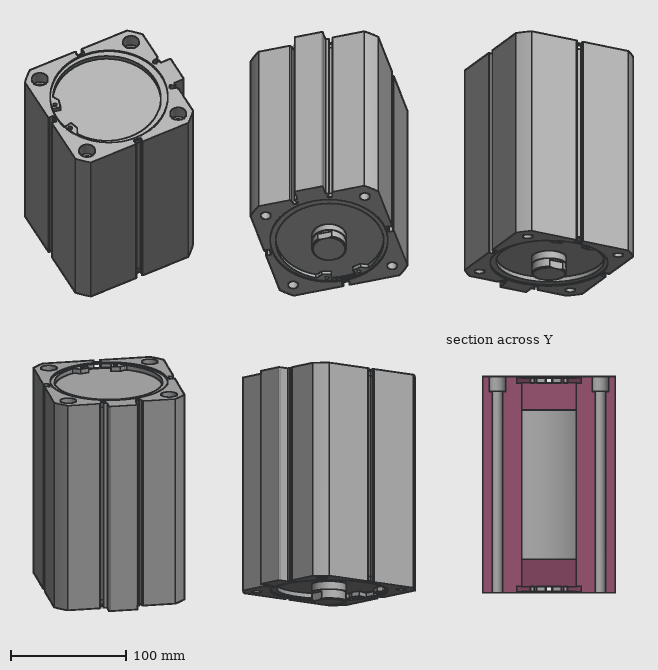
import cadquery as cq
import math

TOTAL_LENGTH = 197.5
ROD_PROTRUSION = 10.0
LENGTH = TOTAL_LENGTH - ROD_PROTRUSION
WIDTH = 115.0
HALF_WIDTH = WIDTH / 2
CORNER_SETBACK = 10.0
CORNER_RADIUS = math.hypot(HALF_WIDTH, HALF_WIDTH - CORNER_SETBACK)
BORE_RADIUS = 51.0

RAIL_HALF_WIDTH = 12.6
RAIL_HEIGHT = 9.0
RAIL_EDGE_RADIUS = 0.8
HOOK_HALF_WIDTH = 15.6
HOOK_DROP = 0.5
HOOK_THICKNESS = 1.2
CHANNEL_RADIUS = 2.2
CHANNEL_X = 15.5
CHANNEL_DEPTH = 6.3
CHANNEL_MOUTH_X = 19.4
CHANNEL_SHOULDER_X = 18.2
CHANNEL_SHOULDER_DEPTH = 1.8

SLOT_MOUTH = 5.1
SLOT_WIDTH = 6.5
SLOT_LIP = 1.0
SLOT_MOUTH_CHAMFER = 0.5
SLOT_DEPTH = 4.5

HOLE_OFFSET = 44.5
HOLE_DIAMETER = 8.9
COUNTERBORE_DIAMETER = 14.0
COUNTERBORE_DEPTH = 12.8

GROOVE_INSET = 1.4
RING_THICKNESS = 4.1
GROOVE_DEPTH = 2.2
GROOVE_RADIUS = BORE_RADIUS + GROOVE_DEPTH
RING_BOTTOMS = (GROOVE_INSET, LENGTH - GROOVE_INSET - RING_THICKNESS)
RING_INNER_RADIUS = 46.8
RING_INNER_SHIFT = -2.2
LUG_END_BOTTOM_X = 12.0
LUG_END_TOP = (9.7, -42.0)
LUG_TIP = (17.4, -39.9)
LUG_ROOT = (21.3, -42.0)
RING_END_X = 23.7
LUG_HOLE = (14.5, -45.2)
LUG_HOLE_DIAMETER = 3.2

COVER_INSET = GROOVE_INSET + RING_THICKNESS
COVER_THICKNESS = 23.7
HEAD_COVER_BOTTOM = LENGTH - COVER_INSET - COVER_THICKNESS
ROD_RADIUS = 15.0
TIP_RADIUS = 14.8
TIP_CHAMFER = 1.0
TIP_START = 1.4
FLAT_OFFSET = 13.5
FLAT_RUNOUT = ROD_RADIUS - FLAT_OFFSET
FLAT_START = TIP_START + FLAT_RUNOUT


def rail_channel(side):
    """Groove beside the rail; side is +1 or -1."""
    top = HALF_WIDTH
    hook_top = top - HOOK_DROP
    hook_bottom = hook_top - HOOK_THICKNESS
    arc_y = top - CHANNEL_DEPTH + CHANNEL_RADIUS
    return (
        cq.Workplane("XY")
        .moveTo(side * RAIL_HALF_WIDTH, top)
        .lineTo(side * RAIL_HALF_WIDTH, hook_top)
        .lineTo(side * HOOK_HALF_WIDTH, hook_top)
        .lineTo(side * HOOK_HALF_WIDTH, hook_bottom)
        .lineTo(side * (CHANNEL_X - CHANNEL_RADIUS), arc_y)
        .threePointArc(
            (side * CHANNEL_X, top - CHANNEL_DEPTH),
            (side * (CHANNEL_X + CHANNEL_RADIUS), arc_y),
        )
        .lineTo(side * CHANNEL_SHOULDER_X, top - CHANNEL_SHOULDER_DEPTH)
        .lineTo(side * CHANNEL_MOUTH_X, top)
        .close()
        .extrude(LENGTH)
    )


def sensor_slot(angle):
    """T-slot with a chamfered mouth in the -Y side, turned about the Z axis by angle."""
    face = -HALF_WIDTH
    half_mouth = SLOT_MOUTH / 2
    right_half = [
        (half_mouth + SLOT_MOUTH_CHAMFER, face),
        (half_mouth, face + SLOT_MOUTH_CHAMFER),
        (half_mouth, face + SLOT_LIP),
        (SLOT_WIDTH / 2, face + SLOT_LIP),
        (SLOT_WIDTH / 2, face + SLOT_DEPTH),
    ]
    left_half = [(-x, y) for x, y in reversed(right_half)]
    slot = cq.Workplane("XY").polyline(right_half + left_half).close().extrude(LENGTH)
    return slot.rotate((0, 0, 0), (0, 0, 1), angle)


def make_housing():
    """Barrel with its rail, slots, mounting holes, bore and ring grooves."""
    body = cq.Workplane("XY").rect(WIDTH, WIDTH).extrude(LENGTH)
    body = body.intersect(cq.Workplane("XY").circle(CORNER_RADIUS).extrude(LENGTH))

    rail = (
        cq.Workplane("XY")
        .box(2 * RAIL_HALF_WIDTH, RAIL_HEIGHT, LENGTH, centered=(True, False, False))
        .translate((0, HALF_WIDTH, 0))
        .edges("|Z and >Y")
        .fillet(RAIL_EDGE_RADIUS)
    )
    body = body.union(rail)
    for side in (-1, 1):
        body = body.cut(rail_channel(side))

    for angle in (-90, 0, 90):
        body = body.cut(sensor_slot(angle))

    body = (
        body.faces(">Z")
        .workplane(origin=(0, 0, 0))
        .rect(2 * HOLE_OFFSET, 2 * HOLE_OFFSET, forConstruction=True)
        .vertices()
        .cboreHole(HOLE_DIAMETER, COUNTERBORE_DIAMETER, COUNTERBORE_DEPTH)
    )

    body = body.cut(cq.Workplane("XY").circle(BORE_RADIUS).extrude(LENGTH))
    for ring_bottom in RING_BOTTOMS:
        plane = cq.Workplane("XY", origin=(0, 0, ring_bottom))
        body = body.cut(plane.circle(GROOVE_RADIUS).extrude(RING_THICKNESS))
    return body


def make_ring(bottom):
    """Open retaining ring with two eyed lugs facing -Y."""
    outer_y = -math.sqrt(GROOVE_RADIUS**2 - LUG_END_BOTTOM_X**2)
    inner_y = RING_INNER_SHIFT - math.sqrt(RING_INNER_RADIUS**2 - RING_END_X**2)
    return (
        cq.Workplane("XY", origin=(0, 0, bottom))
        .moveTo(LUG_END_BOTTOM_X, outer_y)
        .threePointArc((0, GROOVE_RADIUS), (-LUG_END_BOTTOM_X, outer_y))
        .lineTo(-LUG_END_TOP[0], LUG_END_TOP[1])
        .lineTo(-LUG_TIP[0], LUG_TIP[1])
        .lineTo(-LUG_ROOT[0], LUG_ROOT[1])
        .lineTo(-RING_END_X, inner_y)
        .threePointArc((0, RING_INNER_SHIFT + RING_INNER_RADIUS), (RING_END_X, inner_y))
        .lineTo(*LUG_ROOT)
        .lineTo(*LUG_TIP)
        .lineTo(*LUG_END_TOP)
        .close()
        .pushPoints([LUG_HOLE, (-LUG_HOLE[0], LUG_HOLE[1])])
        .circle(LUG_HOLE_DIAMETER / 2)
        .extrude(RING_THICKNESS)
    )


def make_head_cover():
    """Plain disc closing the top of the bore under the upper ring."""
    plane = cq.Workplane("XY", origin=(0, 0, HEAD_COVER_BOTTOM))
    return plane.circle(BORE_RADIUS).extrude(COVER_THICKNESS)


def make_rod_cover():
    """Disc above the lower ring that guides the rod."""
    return (
        cq.Workplane("XY", origin=(0, 0, COVER_INSET))
        .circle(BORE_RADIUS)
        .circle(ROD_RADIUS)
        .extrude(COVER_THICKNESS)
    )


def make_rod():
    """Rod from the head cover down past the housing, ending in a slightly slimmer tip with two flats."""
    shaft = (
        cq.Workplane("XY", origin=(0, 0, -TIP_START))
        .circle(ROD_RADIUS)
        .extrude(TIP_START + HEAD_COVER_BOTTOM)
    )
    tip = (
        cq.Workplane("XY", origin=(0, 0, -ROD_PROTRUSION))
        .circle(TIP_RADIUS)
        .extrude(ROD_PROTRUSION - TIP_START)
        .faces("<Z")
        .chamfer(TIP_CHAMFER)
    )
    rod = shaft.union(tip)
    for side in (-1, 1):
        flat = (
            cq.Workplane("YZ")
            .moveTo(side * FLAT_OFFSET, -ROD_PROTRUSION)
            .lineTo(side * FLAT_OFFSET, -FLAT_START)
            .lineTo(side * ROD_RADIUS, -TIP_START)
            .lineTo(side * ROD_RADIUS, -ROD_PROTRUSION)
            .close()
            .extrude(ROD_RADIUS, both=True)
        )
        rod = rod.cut(flat)
    return rod


housing = make_housing()
rings = [make_ring(bottom) for bottom in RING_BOTTOMS]
head_cover = make_head_cover()
rod_cover = make_rod_cover()
rod = make_rod()

result = cq.Compound.makeCompound(
    [housing.val(), *[ring.val() for ring in rings], head_cover.val(), rod_cover.val(), rod.val()]
)